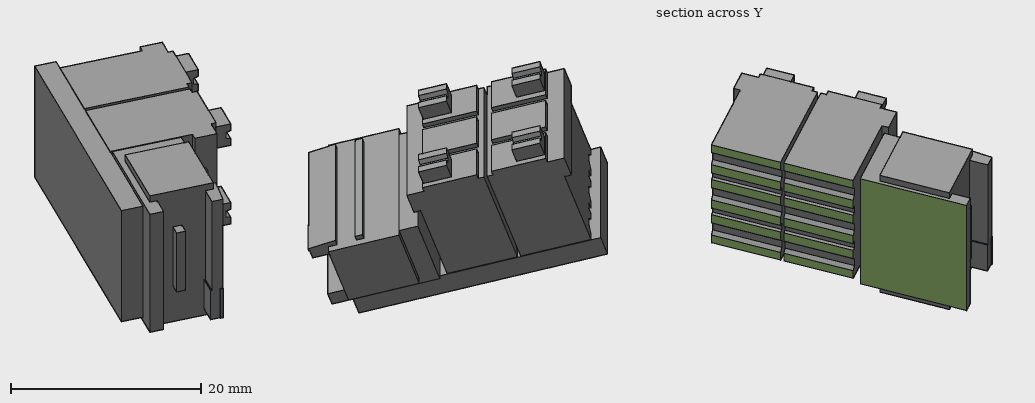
import cadquery as cq


PLATE_LENGTH = 27.45
PLATE_THICKNESS = 2.4
PLATE_HEIGHT = 14.45

MODULE_HEIGHT = 14.28
MODULE_LEFT = 1.07
MODULE_RIGHT = 8.85
MODULE_GAP = 0.35
MODULE_MIRROR_X = MODULE_RIGHT + MODULE_GAP / 2
COLLAR_LEFT = 0.33
COLLAR_START_Y = 11.63
COLLAR_END_Y = 14.13
PAD_LEFT = 2.2
PAD_RIGHT = 8.2
PAD_END_Y = 14.67

GROOVE_PITCH = 2.55
GROOVE_WIDTH = 0.9
FOOT_GROOVE_DEPTH = 0.75
FOOT_NOTCH_WIDE = 2.4
FOOT_NOTCH_NARROW = 0.95

CONTACT_LEFT = 2.32
CONTACT_RIGHT = 5.4
CONTACT_END_Y = 16.35
CONTACT_HEIGHT = 2.8
CONTACT_Z = 2 * GROOVE_PITCH
CONTACT_NOTCH_DEPTH = 0.55
CONTACT_NOTCH_WIDE = 1.07
CONTACT_NOTCH_NARROW = 0.68

HOUSING_LEFT = 17.75
HOUSING_RIGHT = 29.65
HOUSING_END_Y = 10.12
HOUSING_HEIGHT = 15.35
LIP_END_Y = 3.93
CORE_LEFT = 19.8
CORE_RIGHT = 27.6
CORE_START_Y = 3.12
CORE_END_Y = 10.2
CORE_HEIGHT = 17.0

RIB_LEFT = 23.68
RIB_RIGHT = 24.48
RIB_END_Y = 10.75
STUB_RIGHT = 28.77
STUB_START_Y = 5.7
STUB_END_Y = 6.7
STUB_HEIGHT = HOUSING_HEIGHT / 2

LATCH_LEFT = 26.63
LATCH_START_Y = 9.3
LATCH_HIGH_Y = 10.83
LATCH_LOW_Y = 10.55
LATCH_FOOT_START_Y = 9.2
LATCH_FOOT_HEIGHT = 3.8
LATCH_TIP_X = 29.75
LATCH_TIP_START_Y = 10.23


def block(x0, x1, y0, y1, height, z_center=0.0):
    """Box between two X and two Y limits, centred on z_center."""
    box = cq.Workplane("XY").box(x1 - x0, y1 - y0, height)
    return box.translate(((x0 + x1) / 2, (y0 + y1) / 2, z_center))


def tapered_notch(x0, x1, y_wide, y_narrow, wide, narrow, z_center):
    """Trapezoidal cutter along X, narrowing from y_wide to y_narrow."""
    outline = [
        (y_wide, z_center - wide / 2),
        (y_narrow, z_center - narrow / 2),
        (y_narrow, z_center + narrow / 2),
        (y_wide, z_center + wide / 2),
    ]
    return cq.Workplane("YZ").polyline(outline).close().extrude(x1 - x0).translate((x0, 0, 0))


def make_contact(z_center):
    contact = block(CONTACT_LEFT, CONTACT_RIGHT, COLLAR_END_Y, CONTACT_END_Y, CONTACT_HEIGHT, z_center)
    notch = tapered_notch(
        CONTACT_LEFT, CONTACT_RIGHT, CONTACT_END_Y, CONTACT_END_Y - CONTACT_NOTCH_DEPTH,
        CONTACT_NOTCH_WIDE, CONTACT_NOTCH_NARROW, z_center,
    )
    return contact.cut(notch)


def make_module():
    """Left-hand module with its collar, split back pad, foot grooves and contacts."""
    module = block(MODULE_LEFT, MODULE_RIGHT, PLATE_THICKNESS, COLLAR_END_Y, MODULE_HEIGHT)
    module = module.union(block(COLLAR_LEFT, MODULE_RIGHT, COLLAR_START_Y, COLLAR_END_Y, MODULE_HEIGHT))
    module = module.union(block(PAD_LEFT, PAD_RIGHT, COLLAR_END_Y, PAD_END_Y, MODULE_HEIGHT))

    foot_groove_end = PLATE_THICKNESS + FOOT_GROOVE_DEPTH
    for z in (-GROOVE_PITCH, GROOVE_PITCH):
        module = module.cut(block(PAD_LEFT, PAD_RIGHT, COLLAR_END_Y, PAD_END_Y, GROOVE_WIDTH, z))
        module = module.cut(block(
            MODULE_LEFT, MODULE_RIGHT, PLATE_THICKNESS, foot_groove_end, GROOVE_WIDTH, z,
        ))
    for z in (-CONTACT_Z, 0, CONTACT_Z):
        module = module.cut(tapered_notch(
            MODULE_LEFT, MODULE_RIGHT, PLATE_THICKNESS, foot_groove_end,
            FOOT_NOTCH_WIDE, FOOT_NOTCH_NARROW, z,
        ))
    for z in (-CONTACT_Z, CONTACT_Z):
        module = module.union(make_contact(z))
    return module


def make_latch():
    """Full-height sloped latch with a thicker foot and a small tip at its lower end."""
    outline = [
        (LATCH_LEFT, LATCH_START_Y),
        (HOUSING_RIGHT, LATCH_START_Y),
        (HOUSING_RIGHT, LATCH_LOW_Y),
        (LATCH_LEFT, LATCH_HIGH_Y),
    ]
    latch = cq.Workplane("XY").polyline(outline).close().extrude(HOUSING_HEIGHT / 2, both=True)
    foot_z = (LATCH_FOOT_HEIGHT - HOUSING_HEIGHT) / 2
    foot = block(LATCH_LEFT, HOUSING_RIGHT, LATCH_FOOT_START_Y, LATCH_LOW_Y, LATCH_FOOT_HEIGHT, foot_z)
    tip = block(LATCH_LEFT, LATCH_TIP_X, LATCH_TIP_START_Y, LATCH_LOW_Y, LATCH_FOOT_HEIGHT, foot_z)
    return latch.union(foot).union(tip)


def make_connector():
    housing = block(HOUSING_LEFT, CORE_RIGHT, PLATE_THICKNESS, HOUSING_END_Y, HOUSING_HEIGHT)
    lip = block(HOUSING_LEFT, HOUSING_RIGHT, PLATE_THICKNESS, LIP_END_Y, HOUSING_HEIGHT)
    core = block(CORE_LEFT, CORE_RIGHT, CORE_START_Y, CORE_END_Y, CORE_HEIGHT)
    rib = block(RIB_LEFT, RIB_RIGHT, CORE_START_Y, RIB_END_Y, HOUSING_HEIGHT)
    stub = block(CORE_LEFT, STUB_RIGHT, STUB_START_Y, STUB_END_Y, STUB_HEIGHT)
    return housing.union(lip).union(core).union(rib).union(stub).union(make_latch())


plate = block(0, PLATE_LENGTH, 0, PLATE_THICKNESS, PLATE_HEIGHT)
left_module = make_module()
right_module = left_module.mirror("YZ", (MODULE_MIRROR_X, 0, 0))

result = plate.union(left_module).union(right_module).union(make_connector())